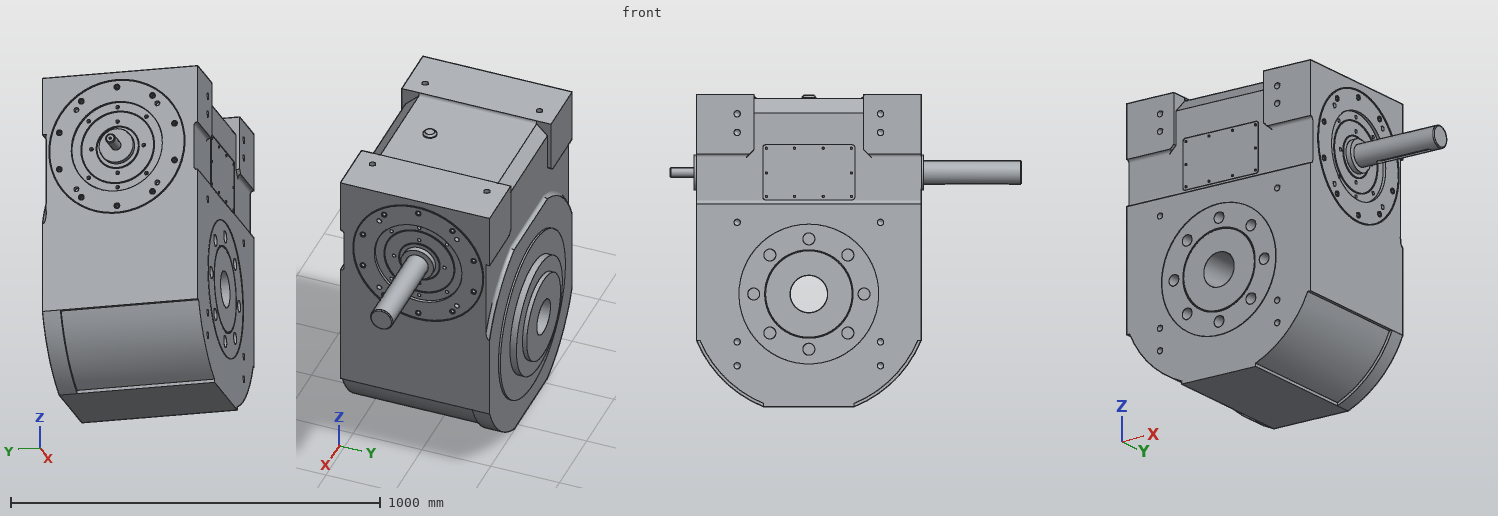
import cadquery as cq
import math


HALF_WIDTH = 304.0
TOP = 540.0
BOTTOM = -305.0
FRONT = -226.0
BACK = 208.0
ROUND_RADIUS = 329.0
FLAT_HALF_WIDTH = math.sqrt(ROUND_RADIUS**2 - BOTTOM**2)
CORNER_START = -math.sqrt(ROUND_RADIUS**2 - HALF_WIDTH**2)
RIM_RADIUS = 320.0
RIM_THICKNESS = 50.0

RELIEF = 10.0
RELIEF_FILLET = 9.5
PAD_INNER = 148.0
PAD_BOTTOM = 379.0
PAD_CORNER = 11.0
FRONT_RELIEF_BOTTOM = 244.0
FRONT_BEVEL = 40.0
BACK_BEVEL = 31.0

SHAFT_Z = 329.0
BORE_RADIUS = 50.0
FLANGE_RADIUS = 189.0
FLANGE_RECESS = 2.0
HUB_RADIUS = 120.0
HUB_GROOVE_WIDTH = 3.0
HUB_GROOVE_DEPTH = 4.0
FLANGE_HOLE_RADIUS = 16.0
FLANGE_HOLE_CIRCLE = 149.0
FLANGE_HOLE_DEPTH = 57
BACK_STEPS = ((239.0, 6.0), (169.0, 25.0), (124.0, 37.0))

DRILL_TIP_HALF_ANGLE = 59
MOUNT_HOLE_RADIUS = 9.0
MOUNT_HOLE_DEPTH = 38
MOUNT_HOLE_X = 194.0
FRONT_HOLE_Z = (487.0, 437.0, 194.0, -129.0, -194.0)
TOP_HOLE_Y = (157.0, -176.0)

COVER_HALF_WIDTH = 124.0
COVER_BOTTOM = 255.0
COVER_TOP = 404.0
COVER_THICKNESS = 2.0
COVER_CORNER = 8.0
COVER_SCREW_RADIUS = 3.0
COVER_SCREW_X = (39.0, 115.0)
COVER_SCREW_Z = (264.0, 328.0, 394.0)
PLUG_Y = -85.5
PLUG_RADIUS = 19.0
PLUG_HEIGHT = 9.0
PLUG_CHAMFER = 6.0

END_COVER_RADIUS = 190.0
RETAINER_RADIUS = 127.0
CAP_RADIUS = 103.0
SEAL_SEAT_RADIUS = 60.0
SEAL_RADIUS = 47.5
SEAL_PROJECTION = 7.0
SEAM_WIDTH = 2.0
SEAM_DEPTH = 3.0
RETAINER_DEPTH = 9.0
END_HOLE_DEPTH = 14.0
COVER_BOLT_CIRCLE = 169.0
COVER_BOLT_COUNT = 10
COUNTERBORE_RADIUS = 8.0
COUNTERBORE_DEPTH = 3.0
COVER_BOLT_RADIUS = 5.0
LEFT_END = -375.0
LEFT_SHAFT_RADIUS = 13.0
RIGHT_END = 575.0
RIGHT_SHAFT_RADIUS = 32.0
SHAFT_CHAMFER = 3.0
CENTRE_HOLE_RADIUS = 3.0
KEYWAY_START = 366.0
KEYWAY_LENGTH = 179.0
KEYWAY_WIDTH = 18.0
KEYWAY_DEPTH = 7.0


def cylinder_x(x0, x1, radius, y=0.0, z=SHAFT_Z):
    """Cylinder along X between x0 and x1."""
    direction = cq.Vector(math.copysign(1, x1 - x0), 0, 0)
    return cq.Workplane(cq.Solid.makeCylinder(radius, abs(x1 - x0), cq.Vector(x0, y, z), direction))


def cylinder_y(y0, y1, radius, x=0.0, z=0.0):
    """Cylinder along +Y between y0 and y1."""
    return cq.Workplane(cq.Solid.makeCylinder(radius, y1 - y0, cq.Vector(x, y0, z), cq.Vector(0, 1, 0)))


def cylinder_z(z0, z1, radius, x=0.0, y=0.0):
    """Cylinder along +Z between z0 and z1."""
    return cq.Workplane(cq.Solid.makeCylinder(radius, z1 - z0, cq.Vector(x, y, z0)))


def drill(entry, direction, depth, radius):
    """Blind drilled hole with a conical tip; it runs along direction from entry."""
    start = cq.Vector(*entry)
    axis = cq.Vector(*direction)
    tip_length = radius / math.tan(math.radians(DRILL_TIP_HALF_ANGLE))
    shank = cq.Solid.makeCylinder(radius, depth, start, axis)
    tip = cq.Solid.makeCone(radius, 0, tip_length, start + axis * depth, axis)
    return cq.Workplane(shank.fuse(tip))


def box(x0, x1, y0, y1, z0, z1):
    return cq.Workplane(cq.Solid.makeBox(x1 - x0, y1 - y0, z1 - z0, cq.Vector(x0, y0, z0)))


def profile_at(y):
    """Workplane facing the front at the given Y; local X is X, local Y is Z, its normal is -Y."""
    plane = cq.Plane(origin=(0, y, 0), xDir=(1, 0, 0), normal=(0, -1, 0))
    return cq.Workplane(plane)


def polar(radius, angle_degrees):
    angle = math.radians(angle_degrees)
    return radius * math.cos(angle), radius * math.sin(angle)


def housing_block():
    diagonal = math.atan2((CORNER_START + BOTTOM) / 2, (HALF_WIDTH + FLAT_HALF_WIDTH) / 2)
    mid_x = ROUND_RADIUS * math.cos(diagonal)
    mid_z = ROUND_RADIUS * math.sin(diagonal)
    return (
        profile_at(FRONT)
        .moveTo(-HALF_WIDTH, TOP)
        .lineTo(HALF_WIDTH, TOP)
        .lineTo(HALF_WIDTH, CORNER_START)
        .threePointArc((mid_x, mid_z), (FLAT_HALF_WIDTH, BOTTOM))
        .lineTo(-FLAT_HALF_WIDTH, BOTTOM)
        .threePointArc((-mid_x, mid_z), (-HALF_WIDTH, CORNER_START))
        .close()
        .extrude(FRONT - BACK)
    )


def corner_rim_cut(side):
    """Material taken off one lower corner ahead of the rear flange."""
    y1 = BACK - RIM_THICKNESS
    x0, x1 = sorted((side * FLAT_HALF_WIDTH, side * 2 * HALF_WIDTH))
    corner = box(x0, x1, FRONT, y1, 2 * BOTTOM, CORNER_START)
    return corner.cut(cylinder_y(FRONT, y1, RIM_RADIUS))


def relief_outline(y, bottom):
    """T-shaped face below and between the pads, drawn at the given Y."""
    return (
        profile_at(y)
        .moveTo(-HALF_WIDTH, bottom)
        .lineTo(HALF_WIDTH, bottom)
        .lineTo(HALF_WIDTH, PAD_BOTTOM)
        .lineTo(PAD_INNER + PAD_CORNER, PAD_BOTTOM)
        .lineTo(PAD_INNER, PAD_BOTTOM + PAD_CORNER)
        .lineTo(PAD_INNER, TOP)
        .lineTo(-PAD_INNER, TOP)
        .lineTo(-PAD_INNER, PAD_BOTTOM + PAD_CORNER)
        .lineTo(-PAD_INNER - PAD_CORNER, PAD_BOTTOM)
        .lineTo(-HALF_WIDTH, PAD_BOTTOM)
        .close()
    )


def front_relief():
    cutter = relief_outline(FRONT, FRONT_RELIEF_BOTTOM).extrude(-RELIEF)
    rounded = cq.selectors.BoxSelector(
        (-2 * HALF_WIDTH, FRONT + RELIEF / 2, FRONT_RELIEF_BOTTOM - 9.5),
        (2 * HALF_WIDTH, FRONT + 2 * RELIEF, PAD_BOTTOM + PAD_CORNER),
    )
    horizontal = cutter.edges(rounded).edges("|X")
    return horizontal.fillet(RELIEF_FILLET)


def flared_section(plane, reach):
    """Half section of a raised face whose edge at the given reach runs out into the relief floor.

    The plane has its origin on the relief floor, local X outward and local Y toward +Y.
    """
    blend_45 = RELIEF_FILLET * (1 - math.sqrt(0.5))
    return (
        cq.Workplane(plane)
        .lineTo(reach + RELIEF_FILLET, 0)
        .threePointArc((reach + blend_45, blend_45), (reach, RELIEF_FILLET))
        .lineTo(reach, RELIEF)
        .lineTo(0, RELIEF)
        .close()
    )


def back_relief():
    """Relief behind the housing; it ends on a raised face that mirrors the rounded lower end."""
    floor = BACK - RELIEF
    cutter = relief_outline(floor, 0).extrude(-RELIEF)
    round_plane = cq.Plane(origin=(0, floor, 0), xDir=(1, 0, 0), normal=(0, 0, 1))
    flat_plane = cq.Plane(origin=(-HALF_WIDTH, floor, 0), xDir=(0, 0, 1), normal=(-1, 0, 0))
    round_edge = flared_section(round_plane, ROUND_RADIUS).revolve(360, (0, 0, 0), (0, 1, 0))
    flat_edge = flared_section(flat_plane, -BOTTOM).extrude(-2 * HALF_WIDTH)
    return cutter.cut(round_edge.intersect(flat_edge))


def top_relief():
    """Slot between the pads plus the bevels on its front and back edges."""
    floor = TOP - RELIEF
    slot = box(-PAD_INNER, PAD_INNER, FRONT, BACK, floor, TOP)
    slot = slot.edges("|Y and <Z").fillet(RELIEF_FILLET)
    front_face = FRONT + RELIEF
    back_face = BACK - RELIEF
    bevels = (
        cq.Workplane("YZ", origin=(-PAD_INNER, 0, 0))
        .polyline([(FRONT, TOP), (FRONT, floor - FRONT_BEVEL), (front_face, floor - FRONT_BEVEL),
                   (front_face + FRONT_BEVEL, floor), (front_face + FRONT_BEVEL, TOP)])
        .close()
        .polyline([(BACK, TOP), (BACK, floor - BACK_BEVEL), (back_face, floor - BACK_BEVEL),
                   (back_face - BACK_BEVEL, floor), (back_face - BACK_BEVEL, TOP)])
        .close()
        .extrude(2 * PAD_INNER)
    )
    return slot.union(bevels)


def housing():
    body = housing_block()
    for side in (-1, 1):
        body = body.cut(corner_rim_cut(side))
    return body.cut(front_relief()).cut(back_relief()).cut(top_relief())


def add_output_side(body):
    for radius, projection in BACK_STEPS:
        body = body.union(cylinder_y(BACK - RELIEF, BACK + projection, radius))
    body = body.cut(cylinder_y(FRONT, FRONT + FLANGE_RECESS, FLANGE_RADIUS))
    groove_floor = FRONT + FLANGE_RECESS + HUB_GROOVE_DEPTH
    groove = cylinder_y(FRONT, groove_floor, HUB_RADIUS)
    body = body.cut(groove.cut(cylinder_y(FRONT, groove_floor, HUB_RADIUS - HUB_GROOVE_WIDTH)))
    for index in range(8):
        x, z = polar(FLANGE_HOLE_CIRCLE, 45 * index)
        body = body.cut(cylinder_y(FRONT, FRONT + FLANGE_HOLE_DEPTH, FLANGE_HOLE_RADIUS, x, z))
    return body.cut(cylinder_y(FRONT, BACK + BACK_STEPS[-1][1], BORE_RADIUS))


def add_mounting_holes(body):
    for x in (-MOUNT_HOLE_X, MOUNT_HOLE_X):
        for z in FRONT_HOLE_Z:
            body = body.cut(drill((x, FRONT, z), (0, 1, 0), MOUNT_HOLE_DEPTH, MOUNT_HOLE_RADIUS))
        for y in TOP_HOLE_Y:
            body = body.cut(drill((x, y, TOP), (0, 0, -1), MOUNT_HOLE_DEPTH, MOUNT_HOLE_RADIUS))
    return body


def add_inspection_cover(body):
    outer = FRONT + RELIEF - COVER_THICKNESS
    inner = FRONT + RELIEF
    cover = box(-COVER_HALF_WIDTH, COVER_HALF_WIDTH, outer, inner, COVER_BOTTOM, COVER_TOP)
    cover = cover.edges("|Y").fillet(COVER_CORNER)
    for column in COVER_SCREW_X:
        for z in COVER_SCREW_Z:
            if column == COVER_SCREW_X[0] and z == COVER_SCREW_Z[1]:
                continue
            for x in (-column, column):
                cover = cover.cut(cylinder_y(outer, inner, COVER_SCREW_RADIUS, x, z))
    return body.union(cover)


def add_vent_plug(body):
    floor = TOP - RELIEF
    plug = cylinder_z(floor, floor + PLUG_HEIGHT, PLUG_RADIUS, 0, PLUG_Y)
    return body.union(plug.faces(">Z").chamfer(PLUG_CHAMFER))


def small_end_holes():
    """Hole radius, pitch circle radius and angle of the plain drilled holes in an end cover."""
    holes = [(7.0, 160.0, 45 + 90 * i) for i in range(4)]
    holes += [(5.0, 114.0, angle) for angle in (45, 90, 135, 225, 270, 315)]
    holes += [(5.0, 73.0, 90 * i) for i in range(4)]
    return holes


def ring_seam(face, side, radius):
    """Narrow ring groove sunk into an end face, with its outer wall at the given radius."""
    floor = face - side * SEAM_DEPTH
    return cylinder_x(face, floor, radius).cut(cylinder_x(face, floor, radius - SEAM_WIDTH))


def add_end_cover(body, side):
    face = side * HALF_WIDTH
    retainer_face = face - side * RETAINER_DEPTH
    body = body.cut(cylinder_x(face, retainer_face, RETAINER_RADIUS))
    body = body.cut(ring_seam(face, side, END_COVER_RADIUS))
    body = body.cut(ring_seam(retainer_face, side, CAP_RADIUS))
    body = body.cut(ring_seam(retainer_face, side, SEAL_SEAT_RADIUS))

    inward = (-side, 0, 0)
    for index in range(COVER_BOLT_COUNT):
        y, z = polar(COVER_BOLT_CIRCLE, 90 + 360 / COVER_BOLT_COUNT * index)
        z += SHAFT_Z
        counterbore = cylinder_x(face, face - side * COUNTERBORE_DEPTH, COUNTERBORE_RADIUS, y, z)
        body = body.cut(counterbore)
        body = body.cut(drill((face, y, z), inward, END_HOLE_DEPTH, COVER_BOLT_RADIUS))
    for hole_radius, circle, angle in small_end_holes():
        y, z = polar(circle, angle)
        entry_x = face if circle > RETAINER_RADIUS else retainer_face
        body = body.cut(drill((entry_x, y, SHAFT_Z + z), inward, END_HOLE_DEPTH, hole_radius))

    return body.union(cylinder_x(retainer_face, face + side * SEAL_PROJECTION, SEAL_RADIUS))


def input_shaft():
    left = cylinder_x(0, LEFT_END, LEFT_SHAFT_RADIUS).faces("<X").chamfer(SHAFT_CHAMFER)
    left = left.cut(cylinder_x(LEFT_END, LEFT_END + 9.5, CENTRE_HOLE_RADIUS))
    right = cylinder_x(0, RIGHT_END, RIGHT_SHAFT_RADIUS).faces(">X").chamfer(SHAFT_CHAMFER)
    shaft_bottom = SHAFT_Z - RIGHT_SHAFT_RADIUS
    keyway = (
        cq.Workplane("XY", origin=(KEYWAY_START + KEYWAY_LENGTH / 2, 0, shaft_bottom))
        .slot2D(KEYWAY_LENGTH, KEYWAY_WIDTH)
        .extrude(KEYWAY_DEPTH)
    )
    return left.union(right.cut(keyway))


body = housing()
body = add_output_side(body)
body = add_mounting_holes(body)
body = add_inspection_cover(body)
body = add_vent_plug(body)
for side in (-1, 1):
    body = add_end_cover(body, side)
result = body.union(input_shaft())